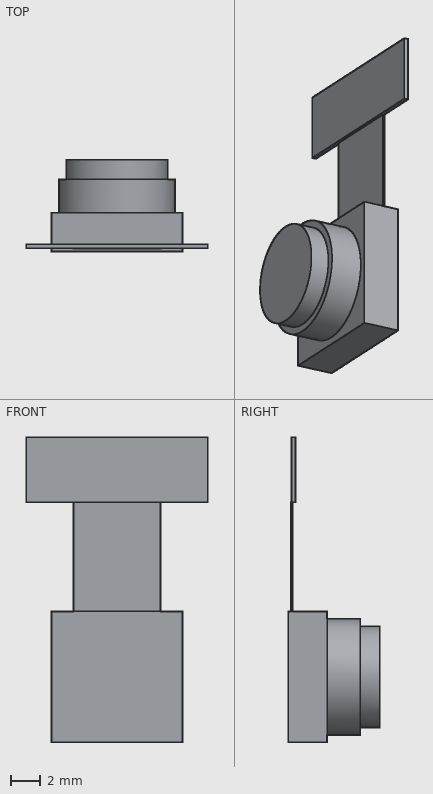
import cadquery as cq

total_height = 21.0
total_depth = 6.32

housing_side = 9.0
housing_depth = 2.69

barrel_diameter = 8.0
barrel_length = 2.29
lens_diameter = 7.0
lens_length = total_depth - housing_depth - barrel_length

plate_width = 12.5
plate_height = 4.5
plate_thickness = 0.3
plate_back = 0.23

flex_width = 6.0
flex_thickness = 0.15
flex_back = 0.19
flex_height = total_height - housing_side - plate_height


def make_slab(width, depth, height, back, bottom):
    """Box centred on X, with its -Y face at back and its base at bottom."""
    return (
        cq.Workplane("XY")
        .box(width, depth, height, centered=(True, False, False))
        .translate((0, back, bottom))
    )


def make_housing():
    return make_slab(housing_side, housing_depth, housing_side, 0, 0)


def make_lens_barrel():
    """Two coaxial cylinders that step down along +Y, centred on the housing."""
    housing_face = cq.Workplane("XZ", origin=(0, housing_depth, housing_side / 2))
    barrel = housing_face.circle(barrel_diameter / 2).extrude(-barrel_length)
    lens = (
        housing_face.workplane(offset=-barrel_length)
        .circle(lens_diameter / 2)
        .extrude(-lens_length)
    )
    return barrel.union(lens)


def make_flex_strip():
    return make_slab(flex_width, flex_thickness, flex_height, flex_back, housing_side)


def make_connector_plate():
    plate_bottom = total_height - plate_height
    return make_slab(plate_width, plate_thickness, plate_height, plate_back, plate_bottom)


housing = make_housing()
lens_barrel = make_lens_barrel()
flex_strip = make_flex_strip()
connector_plate = make_connector_plate()

result = cq.Compound.makeCompound(
    [housing.val(), lens_barrel.val(), flex_strip.val(), connector_plate.val()]
)